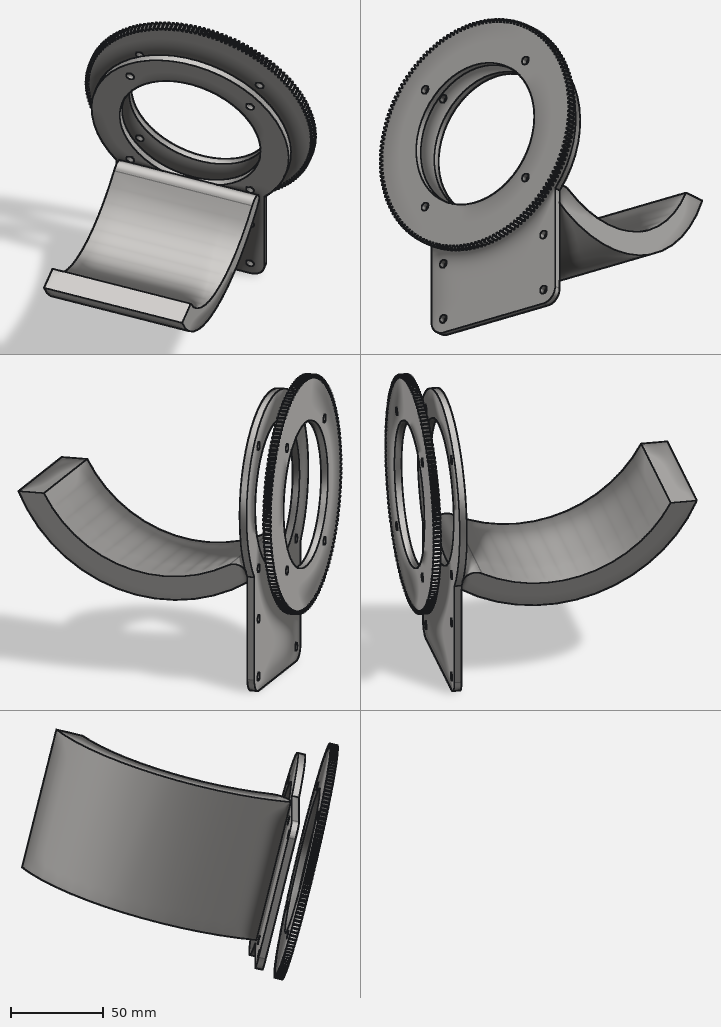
import cadquery as cq
import math

gear_module = 0.8
tooth_count = 160
pressure_angle = math.radians(20)
addendum = gear_module
dedendum = 1.25 * gear_module
pitch_radius = gear_module * tooth_count / 2
base_radius = pitch_radius * math.cos(pressure_angle)
tip_radius = pitch_radius + addendum
root_radius = pitch_radius - dedendum
tooth_pitch = 2 * math.pi / tooth_count

thickness = 4
bore_diameter = 80
screw_diameter = 4.5
screw_offset = 34

gear_gap = 12
disc_radius = 56
screw_edge_distance = 8
tab_width = 2 * (screw_offset + screw_edge_distance)
tab_corner_radius = 8
tab_bottom_z = -102
tab_screw_z = (-62, tab_bottom_z + screw_edge_distance)

arm_width = 78.5
arm_thickness = 13
arm_outer_radius = 90
arm_inner_radius = arm_outer_radius - arm_thickness
arm_reach = 129.84
arm_center_z = 36
arm_center_y = math.sqrt(arm_outer_radius**2 - arm_center_z**2) - arm_reach
arm_root_fillet = 8


def plane_at(y):
    """Sketch plane facing +Y; local x points to -X and local y to +Z."""
    return cq.Workplane("XZ", origin=(0, y, 0)).transformed(rotate=(0, 180, 0))


def screw_positions(z_values):
    return [(side * screw_offset, z) for side in (-1, 1) for z in z_values]


def polar(radius, angle):
    return (radius * math.cos(angle), radius * math.sin(angle))


def tooth_half_angle(radius):
    """Half of the angle that an involute tooth spans at the given radius."""
    def involute(angle):
        return math.tan(angle) - angle

    flank_angle = math.acos(base_radius / radius)
    return tooth_pitch / 4 + involute(pressure_angle) - involute(flank_angle)


def make_gear():
    root_half = tooth_half_angle(root_radius)
    tip_half = tooth_half_angle(tip_radius)
    outline = []
    for tooth in range(tooth_count):
        middle = (tooth + 0.5) * tooth_pitch
        outline.append(polar(root_radius, middle - root_half))
        outline.append(polar(tip_radius, middle - tip_half))
        outline.append(polar(tip_radius, middle + tip_half))
        outline.append(polar(root_radius, middle + root_half))
    plane = plane_at(thickness + gear_gap)
    blank = plane.polyline(outline).close().extrude(thickness)
    bore = plane.circle(bore_diameter / 2).extrude(thickness)
    screws = screw_positions((-screw_offset, screw_offset))
    screw_holes = plane.pushPoints(screws).circle(screw_diameter / 2).extrude(thickness)
    return blank.cut(bore).cut(screw_holes)


def make_plate():
    plane = plane_at(0)
    disc = plane.circle(disc_radius).extrude(thickness)
    tab = (
        plane.center(0, tab_bottom_z / 2)
        .rect(tab_width, -tab_bottom_z)
        .extrude(thickness)
        .edges("|Y and <Z")
        .fillet(tab_corner_radius)
    )
    bore = plane.circle(bore_diameter / 2).extrude(thickness)
    screws = screw_positions((-screw_offset, screw_offset) + tab_screw_z)
    screw_holes = plane.pushPoints(screws).circle(screw_diameter / 2).extrude(thickness)
    return disc.union(tab).cut(bore).cut(screw_holes)


def make_arm():
    def lower_z(radius, y):
        return arm_center_z - math.sqrt(radius**2 - (y - arm_center_y) ** 2)

    def end_y(radius):
        return arm_center_y - math.sqrt(radius**2 - arm_center_z**2)

    outer_bottom = (arm_center_y, arm_center_z - arm_outer_radius)
    inner_bottom = (arm_center_y, arm_center_z - arm_inner_radius)
    strip = (
        cq.Workplane("YZ")
        .moveTo(0, lower_z(arm_outer_radius, 0))
        .threePointArc(outer_bottom, (end_y(arm_outer_radius), 0))
        .lineTo(end_y(arm_inner_radius), 0)
        .threePointArc(inner_bottom, (0, lower_z(arm_inner_radius, 0)))
        .close()
        .extrude(arm_width / 2, both=True)
    )
    root_edge = cq.selectors.NearestToPointSelector((0, 0, lower_z(arm_inner_radius, 0)))
    return strip.edges("|X").edges(root_edge).fillet(arm_root_fillet)


gear = make_gear()
plate = make_plate()
arm = make_arm()

result = cq.Compound.makeCompound([gear.val(), plate.val(), arm.val()])